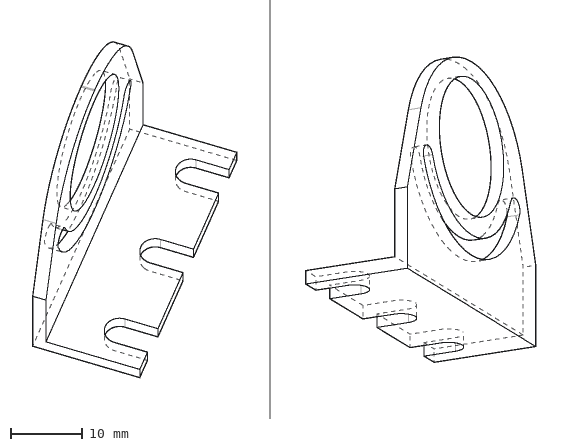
import cadquery as cq
import math

width = 40.0
foot_length = 16.0
thickness = 2.0
shoulder_height = 12.0

head_radius = 16.5
head_center_z = 19.75
crest_flat = 0.2

opening_radius = 10.0
opening_center_z = 23.7
arc_slot_radius = 14.5
arc_slot_width = 3.0
arc_slot_end_angle = 21.0

foot_slot_width = 4.3
foot_slot_depth = 7.1
foot_slot_pitch = 14.65
foot_slot_positions = (-foot_slot_pitch, 0, foot_slot_pitch)


def polar(center_z, radius, angle):
    """Point (y, z) on a circle centred on the plate's vertical centre line."""
    return radius * math.cos(angle), center_z + radius * math.sin(angle)


def mirrored(point):
    return -point[0], point[1]


def plate_sketch():
    """YZ workplane in the outer face of the upright plate."""
    return cq.Workplane("YZ")


def make_plate():
    """Upright plate whose sloping sides run tangent into two arcs joined by a small flat crest."""
    half_width = width / 2
    half_flat = crest_flat / 2
    run = half_width - half_flat
    rise = head_center_z - shoulder_height
    tangent_angle = math.acos(head_radius / math.hypot(run, rise)) - math.atan2(rise, run)

    def head_point(angle):
        y, z = polar(head_center_z, head_radius, angle)
        return y + half_flat, z

    crest_angle = math.pi / 2
    tangent = head_point(tangent_angle)
    middle = head_point((tangent_angle + crest_angle) / 2)
    crest = head_point(crest_angle)
    return (
        plate_sketch()
        .moveTo(-half_width, 0)
        .lineTo(half_width, 0)
        .lineTo(half_width, shoulder_height)
        .lineTo(*tangent)
        .threePointArc(middle, crest)
        .lineTo(*mirrored(crest))
        .threePointArc(mirrored(middle), mirrored(tangent))
        .lineTo(-half_width, shoulder_height)
        .close()
        .extrude(thickness)
    )


def make_foot():
    return cq.Workplane("XY").box(foot_length, width, thickness, centered=(False, True, False))


def make_opening():
    return plate_sketch().center(0, opening_center_z).circle(opening_radius).extrude(thickness)


def make_arc_slot():
    """Round-ended slot hanging below the opening, concentric with it."""
    end_angle = -math.radians(arc_slot_end_angle)
    end_radius = arc_slot_width / 2
    inner_radius = arc_slot_radius - end_radius
    outer_radius = arc_slot_radius + end_radius
    inner_end = polar(opening_center_z, inner_radius, end_angle)
    outer_end = polar(opening_center_z, outer_radius, end_angle)
    end_center = polar(opening_center_z, arc_slot_radius, end_angle)
    end_tip = (
        end_center[0] - end_radius * math.sin(end_angle),
        end_center[1] + end_radius * math.cos(end_angle),
    )
    return (
        plate_sketch()
        .moveTo(*inner_end)
        .threePointArc(end_tip, outer_end)
        .threePointArc((0, opening_center_z - outer_radius), mirrored(outer_end))
        .threePointArc(mirrored(end_tip), mirrored(inner_end))
        .threePointArc((0, opening_center_z - inner_radius), inner_end)
        .close()
        .extrude(thickness)
    )


def make_foot_slot(center_y):
    """Slot open at the free edge of the foot, with a round inner end."""
    end_radius = foot_slot_width / 2
    inner_x = foot_length - foot_slot_depth
    return (
        cq.Workplane("XY")
        .moveTo(foot_length, center_y - end_radius)
        .lineTo(inner_x + end_radius, center_y - end_radius)
        .threePointArc((inner_x, center_y), (inner_x + end_radius, center_y + end_radius))
        .lineTo(foot_length, center_y + end_radius)
        .close()
        .extrude(thickness)
    )


result = make_plate().union(make_foot())
result = result.cut(make_opening()).cut(make_arc_slot())
for slot_y in foot_slot_positions:
    result = result.cut(make_foot_slot(slot_y))